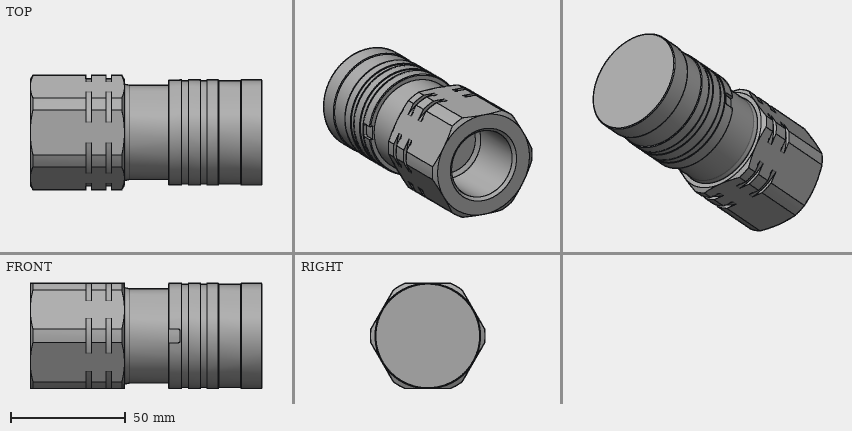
import cadquery as cq
import math

total_length = 101.0

across_flats = 46.0
corner_diameter = 50.0
hex_length = 41.0
hex_chamfer_angle = 30.0
hex_chamfer_length = (corner_diameter - across_flats) / 2 * math.tan(math.radians(hex_chamfer_angle))

corner_groove_starts = (24.2, 33.0)
corner_groove_width = 2.3
corner_groove_radius = 23.4

neck_radius = 20.6
flare_radius = 21.0
flare_start = 41.3
flare_end = 43.2

sleeve_start = 60.1
sleeve_radius = across_flats / 2
rim_chamfer = 0.4
end_chamfer = 0.4
ring_groove_radius = 22.5
ring_grooves = ((65.9, 68.9), (74.0, 76.9))
waist_start = 81.8
waist_end = 91.9
waist_wall_length = 0.3

notch_width = 6.0
notch_end = 65.2
notch_floor_radius = 21.5
notch_corner_radius = 0.8

bore_radius = 15.2
bore_depth = 30.3
bore_mouth_chamfer = 1.4
bore_floor_radius = 13.1
bore_floor_taper_length = 1.2


def revolve_about_x(points):
    """Turn a closed (x, radius) outline about the X axis."""
    return cq.Workplane("XY").polyline(points).close().revolve(360, (0, 0, 0), (1, 0, 0))


def cylinder(start, end, radius):
    """Solid cylinder along X between two stations."""
    return cq.Workplane("YZ", origin=(start, 0, 0)).circle(radius).extrude(end - start)


def ring(start, end, inner_radius):
    """Tube along X, wide enough outside to clear the whole part."""
    return cylinder(start, end, across_flats).cut(cylinder(start, end, inner_radius))


def hexagon_end():
    """Hexagon with its corners turned down and both ends chamfered."""
    prism = cq.Workplane("YZ").polygon(6, across_flats, circumscribed=True).extrude(hex_length)
    prism = prism.rotate((0, 0, 0), (1, 0, 0), 90)
    face_radius = across_flats / 2
    corner_radius = corner_diameter / 2
    envelope = revolve_about_x([
        (0, 0),
        (0, face_radius),
        (hex_chamfer_length, corner_radius),
        (hex_length - hex_chamfer_length, corner_radius),
        (hex_length, face_radius),
        (hex_length, 0),
    ])
    body = prism.intersect(envelope)
    for start in corner_groove_starts:
        body = body.cut(ring(start, start + corner_groove_width, corner_groove_radius))
    return body


def neck():
    """Round neck joining the hexagon to the sleeve."""
    return revolve_about_x([
        (hex_length, 0),
        (hex_length, flare_radius),
        (flare_start, flare_radius),
        (flare_end, neck_radius),
        (sleeve_start, neck_radius),
        (sleeve_start, 0),
    ])


def sleeve():
    """Grip sleeve with a waist between sloped walls, two ring grooves and the rim notches."""
    body = revolve_about_x([
        (sleeve_start, 0),
        (sleeve_start, sleeve_radius - rim_chamfer),
        (sleeve_start + rim_chamfer, sleeve_radius),
        (waist_start, sleeve_radius),
        (waist_start + waist_wall_length, ring_groove_radius),
        (waist_end - waist_wall_length, ring_groove_radius),
        (waist_end, sleeve_radius),
        (total_length - end_chamfer, sleeve_radius),
        (total_length, sleeve_radius - end_chamfer),
        (total_length, 0),
    ])
    for start, end in ring_grooves:
        body = body.cut(ring(start, end, ring_groove_radius))
    notches = (
        cq.Workplane("XY")
        .box(notch_end - sleeve_start, across_flats, notch_width, centered=(False, True, True))
        .edges(">X and |Y")
        .fillet(notch_corner_radius)
        .translate((sleeve_start, 0, 0))
        .cut(cylinder(0, total_length, notch_floor_radius))
    )
    return body.cut(notches)


def bore():
    """Blind bore with a chamfered mouth and a tapered floor edge."""
    return revolve_about_x([
        (0, 0),
        (0, bore_radius + bore_mouth_chamfer),
        (bore_mouth_chamfer, bore_radius),
        (bore_depth - bore_floor_taper_length, bore_radius),
        (bore_depth, bore_floor_radius),
        (bore_depth, 0),
    ])


result = hexagon_end().union(neck()).union(sleeve()).cut(bore())